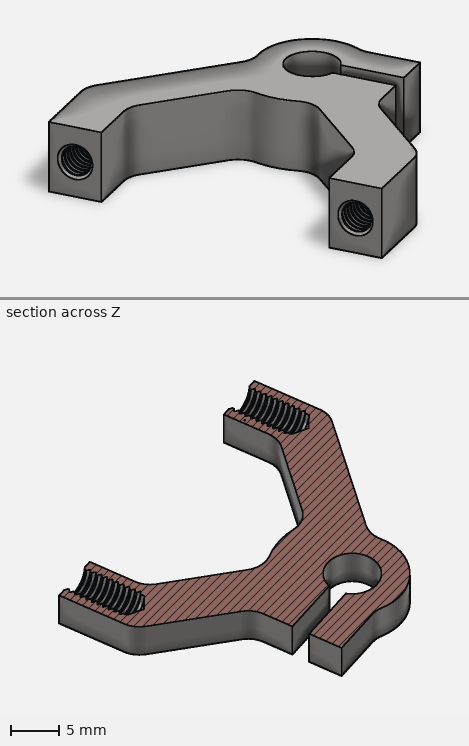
import cadquery as cq
import math

span = 38.0
depth = 30.0
thickness = 8.0
leg_width = 6.0
leg_knee_y = 9.25
hub_radius = 6.0
bore_radius = 3.0
belly_radius = 9.0
ear_reach = 10.05
ear_half_height = 5.0
slot_width = 2.0
corner_radius = 3.0
thread_major = 4.0
thread_minor = 3.3
thread_pitch = 0.7
thread_crest = 0.2
thread_count = 11
drill_point_angle = 118.0

half_span = span / 2
leg_inner_x = half_span - leg_width
inner_knee_y = leg_knee_y - leg_width * math.tan(math.radians(22.5))
bore_y = depth - hub_radius
outer_slope_height = half_span + leg_knee_y
inner_slope_height = leg_inner_x + inner_knee_y


def slope_meets_circle(slope_height, radius):
    """Left-hand point where the line y = x + slope_height cuts a circle about the bore."""
    offset = slope_height - bore_y
    x = (-offset - math.sqrt(2 * radius**2 - offset**2)) / 2
    return x, x + slope_height


belly_x, belly_y = slope_meets_circle(inner_slope_height, belly_radius)
hub_left = slope_meets_circle(outer_slope_height, hub_radius)
ear_top = bore_y + ear_half_height
ear_root = (math.sqrt(hub_radius**2 - ear_half_height**2), ear_top)
hub_crown_left = (-hub_radius * math.sin(math.pi / 4), bore_y + hub_radius * math.cos(math.pi / 4))

body = (
    cq.Workplane("XY")
    .moveTo(-half_span, 0)
    .lineTo(-leg_inner_x, 0)
    .lineTo(-leg_inner_x, inner_knee_y)
    .lineTo(belly_x, belly_y)
    .threePointArc((0, bore_y - belly_radius), (-belly_x, belly_y))
    .lineTo(leg_inner_x, inner_knee_y)
    .lineTo(leg_inner_x, 0)
    .lineTo(half_span, 0)
    .lineTo(half_span, leg_knee_y)
    .lineTo(ear_reach, outer_slope_height - ear_reach)
    .lineTo(ear_reach, ear_top)
    .lineTo(*ear_root)
    .threePointArc(hub_crown_left, hub_left)
    .lineTo(-half_span, leg_knee_y)
    .close()
    .extrude(thickness)
)

rounded_corners = [
    (-leg_inner_x, inner_knee_y),
    (leg_inner_x, inner_knee_y),
    (belly_x, belly_y),
    (-belly_x, belly_y),
    (-half_span, leg_knee_y),
    (half_span, leg_knee_y),
    (ear_reach, outer_slope_height - ear_reach),
    ear_root,
    hub_left,
]
for x, y in rounded_corners:
    corner_edge = cq.selectors.NearestToPointSelector((x, y, thickness / 2))
    body = body.edges("|Z").edges(corner_edge).fillet(corner_radius)

bore = cq.Workplane("XY").center(0, bore_y).circle(bore_radius).extrude(thickness)
slot = (
    cq.Workplane("XY")
    .center(ear_reach / 2, bore_y)
    .rect(ear_reach, slot_width)
    .extrude(thickness)
)


def threaded_hole(x):
    """Blind hole up a leg, with thread grooves as stacked V rings and a drill point."""
    major = thread_major / 2
    minor = thread_minor / 2
    bottom = thread_count * thread_pitch
    tip = bottom + minor / math.tan(math.radians(drill_point_angle / 2))
    profile = cq.Workplane("XY").lineTo(major, 0)
    for ring in range(thread_count):
        start = ring * thread_pitch
        crest_middle = start + thread_pitch / 2
        profile = profile.lineTo(minor, crest_middle - thread_crest / 2)
        profile = profile.lineTo(minor, crest_middle + thread_crest / 2)
        if ring < thread_count - 1:
            profile = profile.lineTo(major, start + thread_pitch)
    profile = profile.lineTo(minor, bottom).lineTo(0, tip).close()
    return profile.revolve(360, (0, 0), (0, 1)).translate((x, 0, thickness / 2))


result = body.cut(bore).cut(slot)
leg_center_x = half_span - leg_width / 2
for side in (-1, 1):
    result = result.cut(threaded_hole(side * leg_center_x))